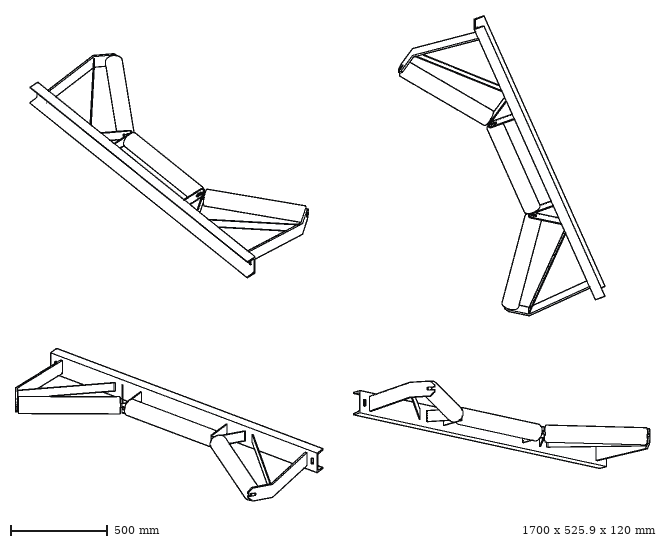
import cadquery as cq
import math

BEAM_LENGTH = 1700.0
BEAM_HEIGHT = 120.0
BEAM_DEPTH = 55.0
WEB_THICKNESS = 7.0
FLANGE_TIP = 7.0
FLANGE_ROOT = 12.0
ROOT_RADIUS = 8.0
TOE_RADIUS = 4.2

MOUNT_SLOT_WIDTH = 14.0
MOUNT_SLOT_HEIGHT = 35.0
MOUNT_SLOT_INSET = 32.0

DRUM_DIAMETER = 90.0
DRUM_LENGTH = 530.0
DRUM_EDGE_RADIUS = 5.0
SHAFT_DIAMETER = 20.0
SHAFT_FLATS = 15.0
TROUGH_ANGLE = 35.0
CENTER_ROLLER_Y = 119.0
WING_ROLLER_X = -529.0
WING_ROLLER_Y = 284.0

OUTER_BAR_WIDTH = 80.0
INNER_BAR_WIDTH = 60.0
OUTER_BAR_THICKNESS = 10.0
INNER_BAR_THICKNESS = 6.0
OUTER_GAP = 5.0
INNER_GAP = 7.6
CENTER_GAP = 5.0
OUTER_BAR_ABOVE_SHAFT = 27.0
OUTER_BEND_X = -820.0
OUTER_FOOT_X = -785.0
OUTER_BEND_RADIUS = 12.0
INNER_BEND_RADIUS = 14.0
TIP_CHAMFER = 24.0
SLOT_BELOW_SHAFT = 7.0
OPEN_SLOT_TOP = 51.0
SLOT_CUT_REACH = 17.0

BRACE_THICKNESS = 5.0
BRACE_WIDTH = 51.0
BRACE_FOOT_X = -444.0

ANGLE = math.radians(TROUGH_ANGLE)
AXIS = cq.Vector(math.cos(ANGLE), -math.sin(ANGLE))
UP = cq.Vector(math.sin(ANGLE), math.cos(ANGLE))
WING_CENTER = cq.Vector(WING_ROLLER_X, WING_ROLLER_Y)
CENTER = cq.Vector(0, CENTER_ROLLER_Y)
OUTER_FACE = DRUM_LENGTH / 2 + OUTER_GAP + OUTER_BAR_THICKNESS
INNER_FACE = DRUM_LENGTH / 2 + INNER_GAP
CENTER_FACE = DRUM_LENGTH / 2 + CENTER_GAP
BELOW_BEAM = -34.0


def mirrored(body):
    """Copy of a left body on the right side."""
    return body.mirror("YZ")


def in_trough(body):
    """Move a body from the origin, lying along X, to the left inclined roller's place."""
    return body.rotate((0, 0, 0), (0, 0, 1), -TROUGH_ANGLE).translate(WING_CENTER)


def point_at_height(point, direction, height):
    """Follow a direction from a point until Y equals the height."""
    return point + direction * ((height - point.y) / direction.y)


def bent_bar(path, thickness, width):
    """Flat bar standing on edge along a three-point path and cut off at Y = 0.

    The thickness lies to the right of the path. Returns the bar, its bend point on the path
    and the matching bend point on the opposite face.
    """
    start, bend, end = path
    first = (bend - start).normalized()
    second = (end - bend).normalized()
    first_normal = cq.Vector(first.y, -first.x)
    second_normal = cq.Vector(second.y, -second.x)
    miter = (first_normal + second_normal) * (thickness / (1 + first_normal.dot(second_normal)))
    outline = [
        start, bend, end,
        end + second_normal * thickness, bend + miter, start + first_normal * thickness,
    ]
    bar = cq.Workplane("XY").polyline([(p.x, p.y) for p in outline]).close().extrude(width / 2, both=True)
    above_beam = cq.Workplane("XY").box(BEAM_LENGTH, BEAM_LENGTH, BEAM_HEIGHT, centered=(True, False, True))
    return bar.intersect(above_beam), bend, bend + miter


def round_bend(bar, point, radius):
    """Round the edge of the bar that stands at a bend point."""
    return bar.edges(cq.selectors.NearestToPointSelector((point.x, point.y, 0))).fillet(radius)


def make_beam():
    half = BEAM_HEIGHT / 2
    profile = [
        (0, -half), (-BEAM_DEPTH, -half), (-BEAM_DEPTH, -half + FLANGE_TIP),
        (-WEB_THICKNESS, -half + FLANGE_ROOT), (-WEB_THICKNESS, half - FLANGE_ROOT),
        (-BEAM_DEPTH, half - FLANGE_TIP), (-BEAM_DEPTH, half), (0, half),
    ]
    beam = cq.Workplane("YZ").polyline(profile).close().extrude(BEAM_LENGTH / 2, both=True)
    for side in (-1, 1):
        root = (0, -WEB_THICKNESS, side * (half - FLANGE_ROOT))
        toe = (0, -BEAM_DEPTH, side * (half - FLANGE_TIP))
        beam = beam.edges(cq.selectors.NearestToPointSelector(root)).fillet(ROOT_RADIUS)
        beam = beam.edges(cq.selectors.NearestToPointSelector(toe)).fillet(TOE_RADIUS)
    slot_x = BEAM_LENGTH / 2 - MOUNT_SLOT_INSET
    slots = (
        cq.Workplane("XZ").pushPoints([(-slot_x, 0), (slot_x, 0)])
        .slot2D(MOUNT_SLOT_HEIGHT, MOUNT_SLOT_WIDTH, 90).extrude(BEAM_DEPTH, both=True)
    )
    return beam.cut(slots)


def make_roller(left_end, right_end):
    """Roller along X, centred on the origin, with its shaft reaching from left_end to right_end."""
    drum = cq.Workplane("YZ", origin=(-DRUM_LENGTH / 2, 0, 0)).circle(DRUM_DIAMETER / 2).extrude(DRUM_LENGTH)
    drum = drum.faces("<X or >X").edges().fillet(DRUM_EDGE_RADIUS)
    length = right_end - left_end
    shaft = cq.Workplane("YZ", origin=(left_end, 0, 0)).circle(SHAFT_DIAMETER / 2).extrude(length)
    flats = cq.Workplane("XY").box(2 * length, SHAFT_DIAMETER, SHAFT_FLATS)
    return drum.union(shaft.intersect(flats))


def shaft_slot(position, above):
    """Cutter along X for a slot with round ends, around a shaft on the X axis.

    It is centred at X = position and reaches from just below the shaft up to Y = above.
    """
    radius = SHAFT_FLATS / 2
    height = above + SLOT_BELOW_SHAFT
    middle = (above - SLOT_BELOW_SHAFT) / 2
    return (
        cq.Workplane("YZ", origin=(position, middle, 0))
        .slot2D(height + 2 * radius, 2 * radius).extrude(SLOT_CUT_REACH, both=True)
    )


def make_outer_bracket():
    face = WING_CENTER - AXIS * OUTER_FACE
    tip = face + UP * OUTER_BAR_ABOVE_SHAFT
    bend = face + UP * ((OUTER_BEND_X - face.x) / UP.x)
    foot = point_at_height(bend, bend - cq.Vector(OUTER_FOOT_X, 0), BELOW_BEAM)
    bar, outside, inside = bent_bar([foot, bend, tip], OUTER_BAR_THICKNESS, OUTER_BAR_WIDTH)
    bar = round_bend(bar, outside, OUTER_BEND_RADIUS)
    bar = round_bend(bar, inside, OUTER_BEND_RADIUS - OUTER_BAR_THICKNESS)
    for side in (-1, 1):
        corner = tip + AXIS * (OUTER_BAR_THICKNESS / 2) + cq.Vector(0, 0, side * OUTER_BAR_WIDTH / 2)
        tip_edge = cq.selectors.NearestToPointSelector(corner.toTuple())
        bar = bar.edges(tip_edge).chamfer(TIP_CHAMFER)
    return bar.cut(in_trough(shaft_slot(-OUTER_FACE, OPEN_SLOT_TOP)))


def make_inner_bracket():
    face = WING_CENTER + AXIS * INNER_FACE
    bend = face + UP * ((-CENTER_FACE - face.x) / UP.x)
    wing_foot = point_at_height(face, UP, BELOW_BEAM)
    center_foot = cq.Vector(-CENTER_FACE, BELOW_BEAM)
    bar, outside, inside = bent_bar([wing_foot, bend, center_foot], INNER_BAR_THICKNESS, INNER_BAR_WIDTH)
    bar = round_bend(bar, outside, INNER_BEND_RADIUS)
    bar = round_bend(bar, inside, INNER_BEND_RADIUS - INNER_BAR_THICKNESS)
    bar = bar.cut(in_trough(shaft_slot(INNER_FACE, OPEN_SLOT_TOP)))
    return bar.cut(shaft_slot(-CENTER_FACE, OPEN_SLOT_TOP).translate(CENTER))


def make_brace(bracket):
    face = WING_CENTER - AXIS * (OUTER_FACE - OUTER_BAR_THICKNESS / 2)
    top = face + UP * ((OUTER_BEND_X + OUTER_BAR_THICKNESS / 2 - face.x) / UP.x)
    foot = cq.Vector(BRACE_FOOT_X, 0)
    below = point_at_height(foot, top - foot, BELOW_BEAM)
    bar, _, _ = bent_bar([below, foot, top], BRACE_THICKNESS, BRACE_WIDTH)
    return bar.cut(bracket)


beam = make_beam()
center_end = CENTER_FACE + INNER_BAR_THICKNESS
center_roller = make_roller(-center_end, center_end).translate(CENTER)
wing_roller = in_trough(make_roller(-OUTER_FACE, INNER_FACE + INNER_BAR_THICKNESS))
outer_bracket = make_outer_bracket()
inner_bracket = make_inner_bracket()
brace = make_brace(outer_bracket)

bodies = [beam.val(), center_roller.val()]
for body in (wing_roller, outer_bracket, inner_bracket, brace):
    bodies += [body.val(), mirrored(body).val()]
result = cq.Compound.makeCompound(bodies)